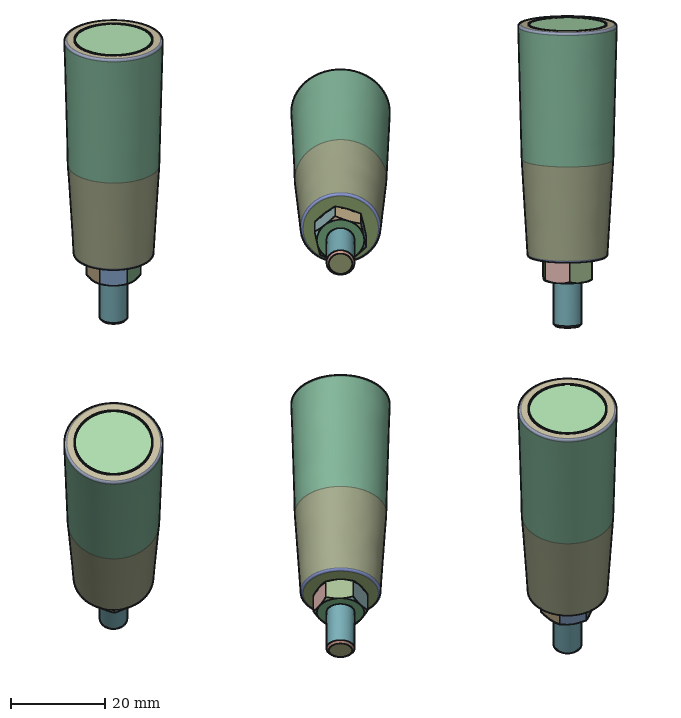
import cadquery as cq
import math

stud_length = 10.0
nut_height = 5.0
grip_bottom = stud_length + nut_height
grip_seam = 36.0
total_height = 65.0

grip_bottom_diameter = 16.95
grip_seam_diameter = 19.5
grip_top_diameter = 21.0
grip_edge_radius = 0.5

cap_groove_diameter = 16.7
cap_groove_width = 0.2
cap_groove_depth = 0.2

nut_across_flats = 10.0
nut_across_corners = nut_across_flats / math.cos(math.radians(30))
nut_face_diameter = nut_across_flats
nut_chamfer_angle = 30

stud_diameter = 6.0
stud_chamfer = 0.5


def make_grip():
    """Solid tapered grip with rounded ends."""
    grip = (
        cq.Workplane("XZ")
        .moveTo(0, grip_bottom)
        .lineTo(grip_bottom_diameter / 2, grip_bottom)
        .lineTo(grip_seam_diameter / 2, grip_seam)
        .lineTo(grip_top_diameter / 2, total_height)
        .lineTo(0, total_height)
        .close()
        .revolve(360, (0, 0), (0, 1))
    )
    return grip.faces("<Z or >Z").edges().fillet(grip_edge_radius)


def make_cap_groove():
    """Ring of material to remove from the top face."""
    return (
        cq.Workplane("XY", origin=(0, 0, total_height - cap_groove_depth))
        .circle(cap_groove_diameter / 2)
        .circle(cap_groove_diameter / 2 - cap_groove_width)
        .extrude(cap_groove_depth)
    )


def make_nut():
    """Hexagon trimmed by a cone at each end to round off its corners."""
    hexagon = (
        cq.Workplane("XY", origin=(0, 0, stud_length))
        .polygon(6, nut_across_corners)
        .extrude(nut_height)
    )
    corner_radius = nut_across_corners / 2
    face_radius = nut_face_diameter / 2
    corner_drop = (corner_radius - face_radius) * math.tan(math.radians(nut_chamfer_angle))
    envelope = (
        cq.Workplane("XZ")
        .moveTo(0, stud_length)
        .lineTo(face_radius, stud_length)
        .lineTo(corner_radius, stud_length + corner_drop)
        .lineTo(corner_radius, grip_bottom - corner_drop)
        .lineTo(face_radius, grip_bottom)
        .lineTo(0, grip_bottom)
        .close()
        .revolve(360, (0, 0), (0, 1))
    )
    return hexagon.intersect(envelope)


def make_stud():
    """Round stud with a chamfered tip."""
    stud = cq.Workplane("XY").circle(stud_diameter / 2).extrude(stud_length)
    return stud.faces("<Z").chamfer(stud_chamfer)


result = make_grip().cut(make_cap_groove()).union(make_nut()).union(make_stud())